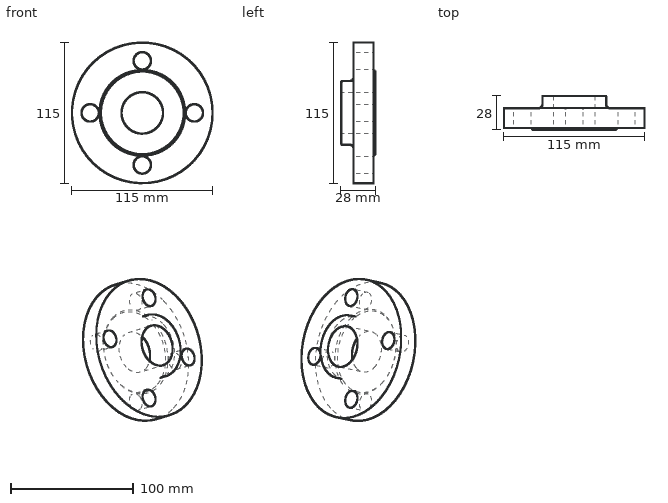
import cadquery as cq

flange_diameter = 115.0
flange_thickness = 16.5

face_diameter = 70.0
face_height = 1.5
face_rim_chamfer = 1.3

hub_diameter = 52.2
hub_height = 10.0
hub_tip_fillet = 1.0
hub_root_fillet = 3.0

bore_diameter = 33.7
bolt_hole_diameter = 14.0
bolt_circle_diameter = 85.0
bolt_count = 4

total_length = face_height + flange_thickness + hub_height
face_front = -total_length / 2
flange_front = face_front + face_height
flange_back = flange_front + flange_thickness
hub_end = flange_back + hub_height


def make_body():
    """Solid of revolution about Y: raised face, flange and hub."""
    flange_radius = flange_diameter / 2
    face_radius = face_diameter / 2
    hub_radius = hub_diameter / 2
    root_centre = (hub_radius + hub_root_fillet, flange_back + hub_root_fillet)
    root_diagonal = hub_root_fillet / 2**0.5
    root_middle = (root_centre[0] - root_diagonal, root_centre[1] - root_diagonal)
    tip_centre = (hub_radius - hub_tip_fillet, hub_end - hub_tip_fillet)
    tip_diagonal = hub_tip_fillet / 2**0.5
    tip_middle = (tip_centre[0] + tip_diagonal, tip_centre[1] + tip_diagonal)
    profile = (
        cq.Workplane("XY")
        .moveTo(0, face_front)
        .lineTo(face_radius - face_rim_chamfer, face_front)
        .lineTo(face_radius, flange_front)
        .lineTo(flange_radius, flange_front)
        .lineTo(flange_radius, flange_back)
        .lineTo(root_centre[0], flange_back)
        .threePointArc(root_middle, (hub_radius, root_centre[1]))
        .lineTo(hub_radius, tip_centre[1])
        .threePointArc(tip_middle, (tip_centre[0], hub_end))
        .lineTo(0, hub_end)
        .close()
    )
    return profile.revolve(360, (0, 0, 0), (0, 1, 0))


def make_holes():
    """Cutters for the central bore and the ring of bolt holes, running along Y."""
    start = cq.Workplane("XZ", origin=(0, face_front, 0))
    bore = start.circle(bore_diameter / 2).extrude(-total_length)
    bolt_holes = (
        start.polarArray(bolt_circle_diameter / 2, 0, 360, bolt_count)
        .circle(bolt_hole_diameter / 2)
        .extrude(-total_length)
    )
    return bore, bolt_holes


result = make_body()
for cutter in make_holes():
    result = result.cut(cutter)